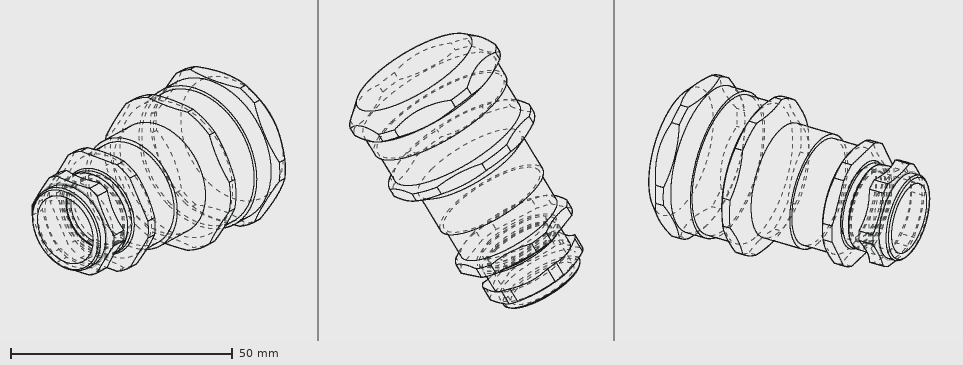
import cadquery as cq
import math

OVERALL_LENGTH = 58.95
CONE_SLOPE = math.tan(math.radians(30))

THREAD_RADIUS = 10.0
THREAD_CHAMFER = 0.4
THREAD_TOP_Y = 10.0
THREAD_RELIEF = 0.3

RING_SECTION_RADIUS = 0.8
NECK_RADIUS = THREAD_RADIUS - 2 * RING_SECTION_RADIUS
RING_Y = THREAD_TOP_Y + THREAD_RELIEF + RING_SECTION_RADIUS
RECESS_RADIUS = 10.4

BORE_RADIUS = 8.2
BORE_DEPTH = 10.4
BORE_FLOOR_RADIUS = 7.85
BORE_TAPER_LENGTH = 1.0

FRONT_HEX_FLATS = 27.0
FRONT_HEX_CORNER_RADIUS = 14.5
FRONT_HEX_Y = 11.9
FRONT_HEX_CORNER_TOP_Y = 14.35

FRONT_BARREL_RADIUS = 12.55
MIDDLE_BARREL_RADIUS = 13.5
MIDDLE_BARREL_Y = 23.35

LARGE_HEX_FLATS = 35.0
MIDDLE_HEX_CORNER_RADIUS = 18.45
MIDDLE_HEX_CORNER_Y = 36.2
MIDDLE_HEX_CORNER_TOP_Y = 38.15

BACK_BARREL_RADIUS = 16.5
COLLAR_RADIUS = 17.3
COLLAR_Y = 46.95

BACK_HEX_CORNER_RADIUS = 19.0
BACK_HEX_CORNER_Y = 53.0
BACK_FACE_RADIUS = 15.05

NUT_FLATS = 22.0
NUT_CORNER_RADIUS = 12.05
NUT_FACE_RADIUS = 10.4
NUT_FACE_Y = 2.2
NUT_CORNER_Y = 2.7
NUT_CORNER_TOP_Y = 6.3
NUT_DISH_SLOPE = math.tan(math.radians(35))


def turned(points):
    """Revolve a closed outline of (radius, y) points around the Y axis."""
    return cq.Workplane("XY").polyline(points).close().revolve(360, (0, 0, 0), (0, 1, 0))


def hexagonal(blank, across_flats):
    """Trim a turned blank to a hexagon with flats facing +Z and -Z."""
    across_corners = across_flats / math.cos(math.pi / 6)
    prism = cq.Workplane("XZ").polygon(6, across_corners).extrude(-OVERALL_LENGTH)
    return blank.intersect(prism)


def make_spigot():
    """Threaded spigot with a round neck behind the thread, where the sealing ring sits."""
    chamfer_radius = THREAD_RADIUS - THREAD_CHAMFER
    relief_radius = THREAD_RADIUS - THREAD_RELIEF
    thread_end_y = THREAD_TOP_Y + THREAD_RELIEF
    return turned([
        (0, 0),
        (chamfer_radius, 0),
        (THREAD_RADIUS, THREAD_CHAMFER),
        (THREAD_RADIUS, THREAD_TOP_Y),
        (relief_radius, thread_end_y),
        (NECK_RADIUS, thread_end_y),
        (NECK_RADIUS, FRONT_HEX_Y),
        (0, FRONT_HEX_Y),
    ])


def make_front_hexagon():
    """Hexagon with a flat front face and a chamfered back."""
    cone_rise = (FRONT_HEX_CORNER_RADIUS - FRONT_BARREL_RADIUS) * CONE_SLOPE
    top_y = FRONT_HEX_CORNER_TOP_Y + cone_rise
    blank = turned([
        (0, FRONT_HEX_Y),
        (FRONT_HEX_CORNER_RADIUS, FRONT_HEX_Y),
        (FRONT_HEX_CORNER_RADIUS, FRONT_HEX_CORNER_TOP_Y),
        (FRONT_BARREL_RADIUS, top_y),
        (0, top_y),
    ])
    return hexagonal(blank, FRONT_HEX_FLATS)


def make_middle_hexagon():
    """Hexagon with a long cone in front and a chamfered back."""
    bottom_y = MIDDLE_HEX_CORNER_Y - (MIDDLE_HEX_CORNER_RADIUS - MIDDLE_BARREL_RADIUS) * CONE_SLOPE
    top_y = MIDDLE_HEX_CORNER_TOP_Y + (MIDDLE_HEX_CORNER_RADIUS - BACK_BARREL_RADIUS) * CONE_SLOPE
    blank = turned([
        (0, bottom_y),
        (MIDDLE_BARREL_RADIUS, bottom_y),
        (MIDDLE_HEX_CORNER_RADIUS, MIDDLE_HEX_CORNER_Y),
        (MIDDLE_HEX_CORNER_RADIUS, MIDDLE_HEX_CORNER_TOP_Y),
        (BACK_BARREL_RADIUS, top_y),
        (0, top_y),
    ])
    return hexagonal(blank, LARGE_HEX_FLATS)


def make_back_hexagon():
    """End hexagon with a chamfered front and a 45 degree cone at the back face."""
    bottom_y = BACK_HEX_CORNER_Y - (BACK_HEX_CORNER_RADIUS - COLLAR_RADIUS) * CONE_SLOPE
    top_y = OVERALL_LENGTH - (BACK_HEX_CORNER_RADIUS - BACK_FACE_RADIUS)
    blank = turned([
        (0, bottom_y),
        (COLLAR_RADIUS, bottom_y),
        (BACK_HEX_CORNER_RADIUS, BACK_HEX_CORNER_Y),
        (BACK_HEX_CORNER_RADIUS, top_y),
        (BACK_FACE_RADIUS, OVERALL_LENGTH),
        (0, OVERALL_LENGTH),
    ])
    return hexagonal(blank, LARGE_HEX_FLATS)


def make_barrel():
    """Stepped round core that joins the three hexagons."""
    return turned([
        (0, FRONT_HEX_Y),
        (FRONT_BARREL_RADIUS, FRONT_HEX_Y),
        (FRONT_BARREL_RADIUS, MIDDLE_BARREL_Y),
        (MIDDLE_BARREL_RADIUS, MIDDLE_BARREL_Y),
        (MIDDLE_BARREL_RADIUS, MIDDLE_HEX_CORNER_Y),
        (BACK_BARREL_RADIUS, MIDDLE_HEX_CORNER_TOP_Y),
        (BACK_BARREL_RADIUS, COLLAR_Y),
        (COLLAR_RADIUS, COLLAR_Y),
        (COLLAR_RADIUS, BACK_HEX_CORNER_Y),
        (0, BACK_HEX_CORNER_Y),
    ])


def make_bore():
    """Blind bore in the spigot, narrowing to its floor."""
    floor_y = BORE_DEPTH + BORE_TAPER_LENGTH
    return turned([
        (0, 0),
        (BORE_RADIUS, 0),
        (BORE_RADIUS, BORE_DEPTH),
        (BORE_FLOOR_RADIUS, floor_y),
        (0, floor_y),
    ])


def make_ring_recess():
    """Conical recess in the front hexagon, 30 degrees from its face, running in to the neck."""
    depth = (RECESS_RADIUS - NECK_RADIUS) * CONE_SLOPE
    return turned([
        (NECK_RADIUS, FRONT_HEX_Y),
        (RECESS_RADIUS, FRONT_HEX_Y),
        (NECK_RADIUS, FRONT_HEX_Y + depth),
    ])


def make_nut_hexagon():
    """Hexagon on the thread with a chamfered front face and a dished inner face."""
    dish_y = NUT_CORNER_TOP_Y - (NUT_CORNER_RADIUS - THREAD_RADIUS) * NUT_DISH_SLOPE
    blank = turned([
        (0, NUT_FACE_Y),
        (NUT_FACE_RADIUS, NUT_FACE_Y),
        (NUT_CORNER_RADIUS, NUT_CORNER_Y),
        (NUT_CORNER_RADIUS, NUT_CORNER_TOP_Y),
        (THREAD_RADIUS, dish_y),
        (0, dish_y),
    ])
    return hexagonal(blank, NUT_FLATS)


def make_gland():
    """Gland body: spigot, barrel and all four hexagons in one piece."""
    hexagons = (make_nut_hexagon(), make_front_hexagon(), make_middle_hexagon(), make_back_hexagon())
    gland = make_barrel().union(make_spigot())
    for hexagon in hexagons:
        gland = gland.union(hexagon)
    return gland.cut(make_ring_recess()).cut(make_bore())


def make_sealing_ring():
    """Ring of round section that touches the neck and the end of the thread."""
    section_x = THREAD_RADIUS - RING_SECTION_RADIUS
    section = cq.Workplane("XY").pushPoints([(section_x, RING_Y)]).circle(RING_SECTION_RADIUS)
    return section.revolve(360, (0, 0, 0), (0, 1, 0))


gland = make_gland()
sealing_ring = make_sealing_ring()
result = cq.Compound.makeCompound([gland.val(), sealing_ring.val()])